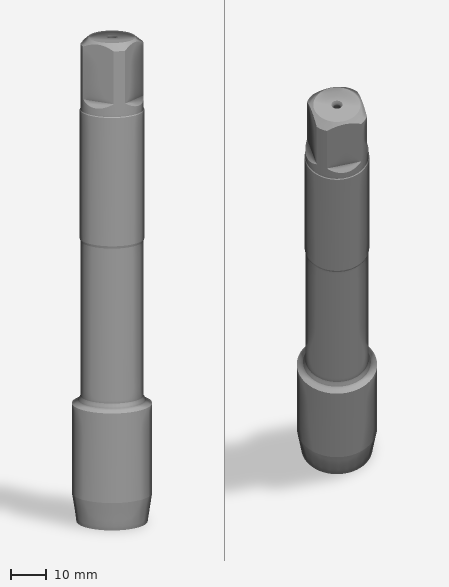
import cadquery as cq

total_length = 140.0
lead_length = 8.3
head_top = 33.7
shoulder_bottom = 34.2
shoulder_top = 35.1
neck_bottom = 36.4
neck_top = 81.2
shank_bottom = 81.9
shank_top = 119.0
square_bottom = 122.9
corner_top = 138.2

head_diameter = 22.4
tip_diameter = 19.9
shoulder_diameter = 18.9
neck_diameter = 17.6
shank_diameter = 18.0
drive_diameter = 17.6
drive_end_diameter = 13.2

square_width = 14.5
flat_runout = (drive_diameter - square_width) / 2
shank_chamfer = (shank_diameter - drive_diameter) / 2

centre_diameter = 2.0
countersink_diameter = 3.1
countersink_depth = 1.0
centre_depth = 2.8
drill_point_height = 0.5


def revolve_profile(points):
    """Turn a closed (radius, height) outline about the Z axis."""
    return cq.Workplane("XZ").polyline(points).close().revolve(360, (0, 0, 0), (0, 1, 0))


def make_cutting_head():
    """Cylindrical cutting section with a tapered lead at the tip."""
    return revolve_profile([
        (0, 0),
        (tip_diameter / 2, 0),
        (head_diameter / 2, lead_length),
        (head_diameter / 2, head_top),
        (0, head_top),
    ])


def make_flat_cutter():
    """Tool removing the material outside one drive flat, on the +X side."""
    flat = square_width / 2
    outside = flat + 2 * flat_runout
    return (
        cq.Workplane("XZ")
        .moveTo(flat, total_length)
        .lineTo(flat, square_bottom)
        .lineTo(outside, square_bottom - (outside - flat))
        .lineTo(outside, total_length)
        .close()
        .extrude(drive_diameter / 2, both=True)
    )


def make_turned_blank():
    """Shoulder, neck, shank and drive as one turned shape."""
    return revolve_profile([
        (0, head_top),
        (head_diameter / 2, head_top),
        (head_diameter / 2, shoulder_bottom),
        (shoulder_diameter / 2, shoulder_top),
        (neck_diameter / 2, neck_bottom),
        (neck_diameter / 2, neck_top),
        (shank_diameter / 2, shank_bottom),
        (shank_diameter / 2, shank_top),
        (drive_diameter / 2, shank_top + shank_chamfer),
        (drive_diameter / 2, corner_top),
        (drive_end_diameter / 2, total_length),
        (0, total_length),
    ])


def make_centre_hole():
    """Countersunk centre hole with a conical drill point."""
    hole_bottom = total_length - centre_depth
    return revolve_profile([
        (0, total_length),
        (countersink_diameter / 2, total_length),
        (centre_diameter / 2, total_length - countersink_depth),
        (centre_diameter / 2, hole_bottom),
        (0, hole_bottom - drill_point_height),
    ])


def make_shank():
    """Turned shank with four drive flats and a centre hole."""
    shank = make_turned_blank()
    flat_cutter = make_flat_cutter()
    for angle in (0, 90, 180, 270):
        shank = shank.cut(flat_cutter.rotate((0, 0, 0), (0, 0, 1), angle))
    return shank.cut(make_centre_hole())


cutting_head = make_cutting_head()
shank = make_shank()

result = cq.Compound.makeCompound([cutting_head.val(), shank.val()])